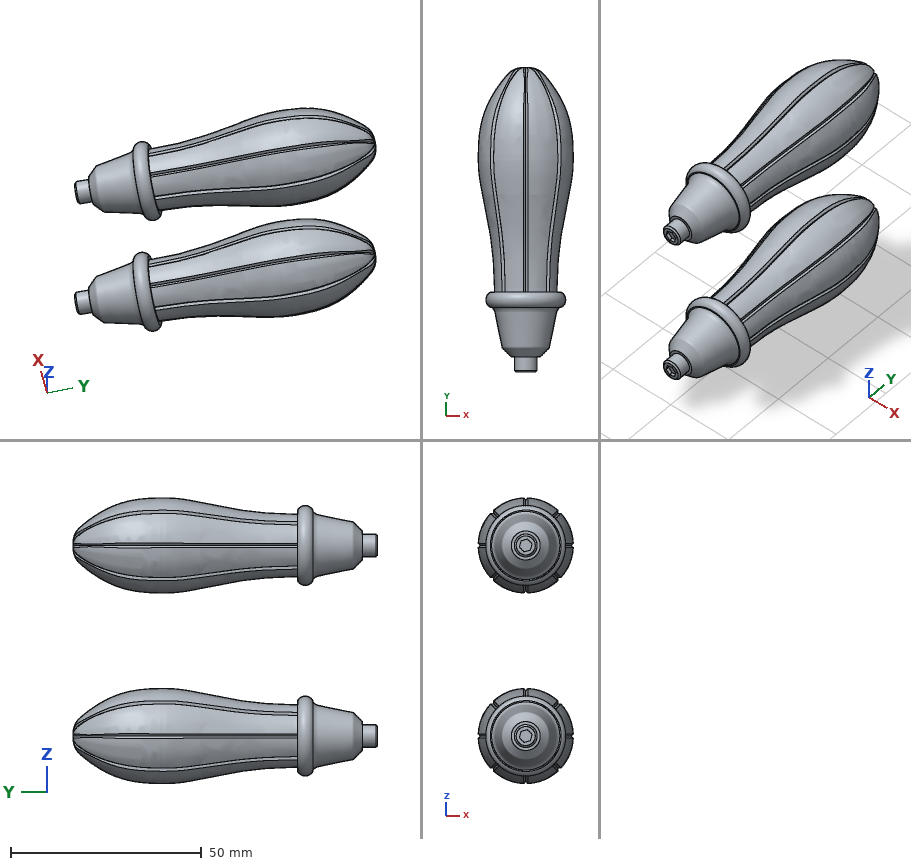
import cadquery as cq

HANDLE_COUNT = 2
HANDLE_SPACING = 50.0
HANDLE_LENGTH = 80.0

GRIP_START = 21.0
NECK_START = 22.0
NECK_RADIUS = 8.25
HOLLOW_POINT = (9.53, 37.2)
SHOULDER_RADIUS = 11.35
SHOULDER_Y = 46.5
SHOULDER_SLOPE = 0.2
BELLY_RADIUS = 12.5
BELLY_START = 55.5
BELLY_END = 57.0
NOSE_SIDE_POINT = (10.0, 70.3)
NOSE_CROWN_POINT = (5.2, 77.65)
FLUTE_COUNT = 8
FLUTE_DEPTH = 0.6
FLUTE_TIP_SLOPE = 0.25
FLUTE_CUTTER_SIZE = 2 * FLUTE_DEPTH

COLLAR_START = 17.0
COLLAR_FACE_RADIUS = 9.3
COLLAR_RADIUS = 10.5

FERRULE_START = 4.0
FERRULE_END_RADIUS = 3.8
CONE_START = 6.4
CONE_START_RADIUS = FERRULE_END_RADIUS + CONE_START - FERRULE_START
CONE_EDGE_FILLET = 0.8
CONE_END = 15.7
CONE_END_RADIUS = 8.1
FLARE_MIDDLE = (8.42, 16.4)
FLARE_RADIUS = 8.95

SPINDLE_RADIUS = 3.0
SPINDLE_LENGTH = 40.0
SPINDLE_CHAMFER = 0.5
SOCKET_ACROSS_FLATS = 3.0
SOCKET_DEPTH = 1.0
SOCKET_TURN = 15.0
HEXAGON_SIDES = 6


def turned(outline):
    """Closes the outline along the Y axis and turns it into a solid."""
    return outline.close().revolve(360, (0, 0, 0), (0, 1, 0))


def spindle_blank():
    """Plain rod from Y = 0, also used to cut its own bore in the other bodies."""
    return cq.Workplane("XZ").circle(SPINDLE_RADIUS).extrude(-SPINDLE_LENGTH)


def grip_meridian(start, inset=0.0, tip_slope=0.0):
    """Curve from the neck to the nose tip, set in from the surface but always ending at the tip."""
    neck = (NECK_RADIUS - inset, NECK_START)
    hollow = (HOLLOW_POINT[0] - inset, HOLLOW_POINT[1])
    shoulder = (SHOULDER_RADIUS - inset, SHOULDER_Y)
    belly_start = (BELLY_RADIUS - inset, BELLY_START)
    belly_end = (BELLY_RADIUS - inset, BELLY_END)
    nose_side = (NOSE_SIDE_POINT[0] - inset, NOSE_SIDE_POINT[1])
    nose_crown = (NOSE_CROWN_POINT[0], NOSE_CROWN_POINT[1] - inset)
    tip = (0, HANDLE_LENGTH)
    along_axis = (0, 1)
    inward = (-1, tip_slope)
    leaning_out = (SHOULDER_SLOPE, 1)
    return (
        start.lineTo(*neck)
        .spline([hollow, shoulder], tangents=[along_axis, leaning_out], includeCurrent=True)
        .spline([belly_start], tangents=[leaning_out, along_axis], includeCurrent=True)
        .lineTo(*belly_end)
        .spline([nose_side, nose_crown, tip], tangents=[along_axis, inward], includeCurrent=True)
    )


def flute_cutter():
    """Right-angled V swept along the flute bottom, which rises to the surface at the nose tip."""
    bottom_radius = NECK_RADIUS - FLUTE_DEPTH
    path_start = cq.Workplane("XY").moveTo(bottom_radius, GRIP_START)
    path = grip_meridian(path_start, FLUTE_DEPTH, FLUTE_TIP_SLOPE)
    return (
        cq.Workplane("XZ", origin=(bottom_radius, GRIP_START, 0))
        .lineTo(FLUTE_CUTTER_SIZE, FLUTE_CUTTER_SIZE)
        .lineTo(FLUTE_CUTTER_SIZE, -FLUTE_CUTTER_SIZE)
        .close()
        .sweep(path)
    )


def make_grip():
    outline = cq.Workplane("XY").moveTo(0, GRIP_START).lineTo(NECK_RADIUS, GRIP_START)
    grip = turned(grip_meridian(outline))
    flute = flute_cutter()
    for index in range(FLUTE_COUNT):
        grip = grip.cut(flute.rotate((0, 0, 0), (0, 1, 0), index * 360 / FLUTE_COUNT))
    return grip.cut(spindle_blank())


def make_collar():
    middle = (COLLAR_START + GRIP_START) / 2
    outline = (
        cq.Workplane("XY")
        .moveTo(0, COLLAR_START)
        .lineTo(COLLAR_FACE_RADIUS, COLLAR_START)
        .threePointArc((COLLAR_RADIUS, middle), (COLLAR_FACE_RADIUS, GRIP_START))
        .lineTo(0, GRIP_START)
    )
    return turned(outline).cut(spindle_blank())


def make_ferrule():
    outline = (
        cq.Workplane("XY")
        .moveTo(0, FERRULE_START)
        .lineTo(FERRULE_END_RADIUS, FERRULE_START)
        .lineTo(CONE_START_RADIUS, CONE_START)
        .lineTo(CONE_END_RADIUS, CONE_END)
        .threePointArc(FLARE_MIDDLE, (FLARE_RADIUS, COLLAR_START))
        .lineTo(0, COLLAR_START)
    )
    cone_edge = cq.selectors.NearestToPointSelector((0, CONE_START, 0))
    ferrule = turned(outline).edges(cone_edge).fillet(CONE_EDGE_FILLET)
    return ferrule.cut(spindle_blank())


def make_spindle():
    socket = (
        cq.Workplane("XZ")
        .polygon(HEXAGON_SIDES, SOCKET_ACROSS_FLATS, circumscribed=True)
        .extrude(-SOCKET_DEPTH)
        .rotate((0, 0, 0), (0, 1, 0), SOCKET_TURN)
    )
    return spindle_blank().faces("<Y").chamfer(SPINDLE_CHAMFER).cut(socket)


handle = [make_grip(), make_collar(), make_ferrule(), make_spindle()]
bodies = []
for index in range(HANDLE_COUNT):
    for body in handle:
        bodies.append(body.translate((0, 0, index * HANDLE_SPACING)).val())

result = cq.Compound.makeCompound(bodies)